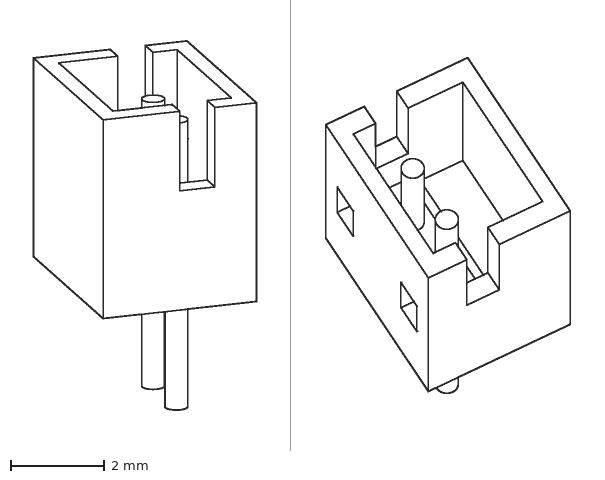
import cadquery as cq

housing_length = 4.5
housing_width = 3.5
housing_height = 4.5
end_wall = 0.5
side_wall = 0.4
cavity_length = housing_length - 2 * end_wall
cavity_width = housing_width - 2 * side_wall

slot_width = 0.8
slot_depth = 1.8
slot_center_y = 0.4

window_inner_x = 1.05
window_width = cavity_length / 2 - window_inner_x
window_bottom_z = 1.7
window_top_z = housing_height - slot_depth
window_height = window_top_z - window_bottom_z

high_floor_z = window_bottom_z
ramp_size = 0.3
ramp_top_y = 0.0
ramp_foot_y = ramp_top_y - ramp_size
low_floor_z = high_floor_z - ramp_size

pin_diameter = 0.5
pin_pitch = 1.5
pin_y = 0.45
pin_tail = 2.7
pin_recess = 0.7
pin_top_z = housing_height - pin_recess


def make_housing():
    """Solid block with the stepped cavity cut into it from above."""
    block = cq.Workplane("XY").box(housing_length, housing_width, housing_height, centered=(True, True, False))
    cavity = (
        cq.Workplane("YZ")
        .moveTo(-cavity_width / 2, housing_height)
        .lineTo(-cavity_width / 2, low_floor_z)
        .lineTo(ramp_foot_y, low_floor_z)
        .lineTo(ramp_top_y, high_floor_z)
        .lineTo(cavity_width / 2, high_floor_z)
        .lineTo(cavity_width / 2, housing_height)
        .close()
        .extrude(cavity_length / 2, both=True)
    )
    return block.cut(cavity)


def make_end_slots():
    """One bar along X that opens both end walls from their top edge."""
    return (
        cq.Workplane("XY", origin=(0, slot_center_y, housing_height - slot_depth))
        .box(housing_length, slot_width, slot_depth, centered=(True, True, False))
    )


def make_window(side):
    """Rectangular cutter through the +Y wall; side is -1 or +1 along X."""
    center_x = side * (window_inner_x + window_width / 2)
    center_y = (housing_width - side_wall) / 2
    return (
        cq.Workplane("XY", origin=(center_x, center_y, window_bottom_z))
        .box(window_width, side_wall, window_height, centered=(True, True, False))
    )


def make_pin(side):
    """Straight round pin through the floor; side is -1 or +1 along X."""
    return (
        cq.Workplane("XY", origin=(side * pin_pitch / 2, pin_y, -pin_tail))
        .circle(pin_diameter / 2)
        .extrude(pin_tail + pin_top_z)
    )


result = make_housing().cut(make_end_slots())
for side in (-1, 1):
    result = result.cut(make_window(side))
    result = result.union(make_pin(side))